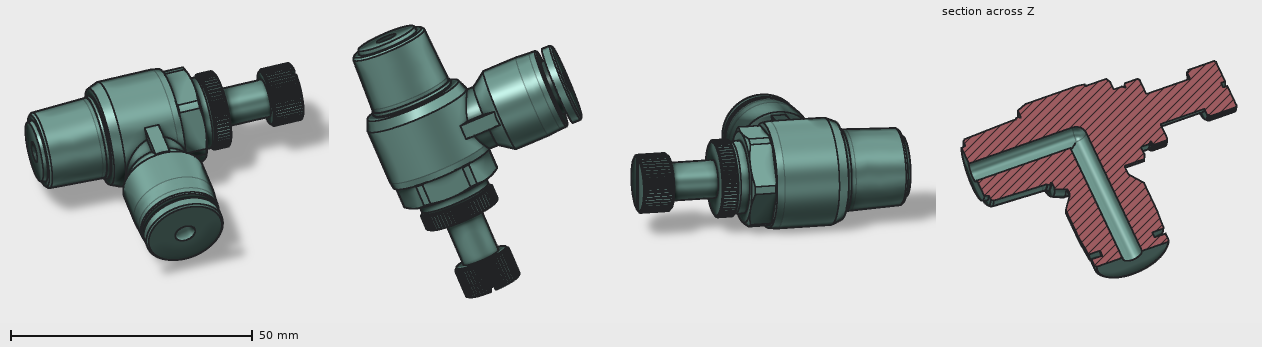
import cadquery as cq
import math


body_radius = 11.2
body_top_radius = 10.95
body_foot_radius = 10.3
body_top = 6.35
body_top_taper_start = 4.8
body_foot_taper_start = -6.8
body_foot = -9.0

gap_radius = 8.5
lip_start = -9.15
lip_chamfer = 0.2
lip_radius = 8.85
lip_end = -10.05
lip_end_radius = 8.7
plug_top_radius = 8.5
plug_taper_start = -10.95
plug_end_radius = 8.05
plug_end = -21.75
plug_chamfer_end = -22.25
plug_chamfer_radius = 7.6
nose_radius = 6.55
nose_end_radius = 6.3
nose_end = -23.2

hex_across_flats = 18.95
hex_round_radius = 10.5
hex_top = 11.5
hex_chamfer_width = 1.0
hex_chamfer_height = 0.5
hex_foot_chamfer = 0.2

collar_radius = 7.55
collar_top_radius = 7.05
collar_taper_start = 13.3
ring_bottom = 13.85
ring_top = 17.3
ring_radius = 8.05
ring_teeth = 60
stem_radius = 4.0
knob_bottom = 27.05
knob_top = 33.6
knob_radius = 6.1
knob_teeth = 48
knob_step_radius = 5.6
knob_step_height = 0.2
knurl_crest_width = 0.2
knurl_chamfer_width = 0.425
knurl_chamfer_height = 0.3
slot_width = 1.1
slot_depth = 0.9

neck_radius = 6.6
neck_end = 12.6
sleeve_start = 15.75
sleeve_radius = 8.8
sleeve_straight_end = 23.05
sleeve_bevel_start = 25.95
sleeve_bevel_radius = 8.6
sleeve_bevel_end = 27.2
sleeve_bevel_end_radius = 8.5
sleeve_end = 27.55
sleeve_end_radius = 8.3
groove_radius = 5.9
flange_start = 28.75
flange_radius = 8.35
flange_end = 30.9
flange_chamfer = 0.4

rib_width = 3.05
rib_half_height = 8.3
bore_radius = 2.15


def revolve_about_y(profile):
    """Solid of revolution about Y from (radius, y) corners that begin and end on the axis."""
    return cq.Workplane("XY").polyline(profile).close().revolve(360, (0, 0), (0, 1))


def revolve_about_x(profile):
    """Solid of revolution about X from (x, radius) corners that begin and end on the axis."""
    return cq.Workplane("XY").polyline(profile).close().revolve(360, (0, 0), (1, 0))


def cylinder_y(radius, start, end):
    return revolve_about_y([(0, start), (radius, start), (radius, end), (0, end)])


def chamfered_disc(radius, start, end, width, height):
    """Disc on the Y axis with both rims chamfered."""
    return revolve_about_y([
        (0, start), (radius - width, start), (radius, start + height),
        (radius, end - height), (radius - width, end), (0, end),
    ])


def prism_y(points, start, end):
    """Prism along Y from (x, z) corners."""
    plane = cq.Plane(origin=(0, start, 0), xDir=(-1, 0, 0), normal=(0, 1, 0))
    return cq.Workplane(plane).polyline(points).close().extrude(end - start)


def knurled_disc(radius, teeth, start, end):
    """Disc with flat-crested teeth, right-angled V grooves and chamfered rims."""
    pitch_angle = 2 * math.pi / teeth
    half_crest_angle = knurl_crest_width / (2 * radius)
    groove_depth = (pitch_angle * radius - knurl_crest_width) / 2
    root_radius = radius - groove_depth
    points = []
    for i in range(teeth):
        middle = i * pitch_angle
        for reach, angle in (
            (radius, middle - half_crest_angle),
            (radius, middle + half_crest_angle),
            (root_radius, middle + pitch_angle / 2),
        ):
            points.append((reach * math.cos(angle), reach * math.sin(angle)))
    rims = chamfered_disc(radius, start, end, knurl_chamfer_width, knurl_chamfer_height)
    return prism_y(points, start, end).intersect(rims)


def make_body_and_plug():
    return revolve_about_y([
        (0, body_top), (body_top_radius, body_top), (body_radius, body_top_taper_start),
        (body_radius, body_foot_taper_start), (body_foot_radius, body_foot),
        (gap_radius, body_foot), (gap_radius, lip_start),
        (lip_radius - lip_chamfer, lip_start), (lip_radius, lip_start - lip_chamfer),
        (lip_end_radius, lip_end), (plug_top_radius, lip_end), (plug_top_radius, plug_taper_start),
        (plug_end_radius, plug_end), (plug_chamfer_radius, plug_chamfer_end),
        (nose_radius, plug_chamfer_end), (nose_end_radius, nose_end), (0, nose_end),
    ])


def make_hexagon():
    """Hexagon with flats facing up and down, its corners turned round."""
    corner_radius = hex_across_flats / math.sqrt(3)
    corners = []
    for i in range(6):
        angle = math.radians(60 * i)
        corners.append((corner_radius * math.cos(angle), corner_radius * math.sin(angle)))
    turned = revolve_about_y([
        (0, body_top), (hex_round_radius - hex_foot_chamfer, body_top),
        (hex_round_radius, body_top + hex_foot_chamfer),
        (hex_round_radius, hex_top - hex_chamfer_height),
        (hex_round_radius - hex_chamfer_width, hex_top), (0, hex_top),
    ])
    return prism_y(corners, body_top, hex_top).intersect(turned)


def make_collar():
    return revolve_about_y([
        (0, hex_top), (collar_radius, hex_top), (collar_radius, collar_taper_start),
        (collar_top_radius, ring_bottom), (0, ring_bottom),
    ])


def make_knob():
    step_top = knob_bottom + knob_step_height
    step = cylinder_y(knob_step_radius, knob_bottom, step_top)
    knob = knurled_disc(knob_radius, knob_teeth, step_top, knob_top).union(step)
    slot = cq.Workplane("XY").box(slot_width, 2 * slot_depth, 2 * knob_radius)
    return knob.cut(slot.translate((0, knob_top, 0)))


def make_branch():
    return revolve_about_x([
        (0, 0), (0, neck_radius), (neck_end, neck_radius), (sleeve_start, sleeve_radius),
        (sleeve_straight_end, sleeve_radius), (sleeve_bevel_start, sleeve_bevel_radius),
        (sleeve_bevel_end, sleeve_bevel_end_radius),
        (sleeve_end, sleeve_end_radius), (sleeve_end, groove_radius),
        (flange_start, groove_radius), (flange_start, flange_radius),
        (flange_end - flange_chamfer, flange_radius),
        (flange_end, flange_radius - flange_chamfer), (flange_end, 0),
    ])


def make_ribs():
    """One bar through the body; its ends form the upper and lower ribs."""
    return cq.Workplane("XY").box(
        sleeve_start, rib_width, 2 * rib_half_height, centered=(False, True, True)
    )


def make_passage():
    """Bore from the plug nose, turning at a round elbow and leaving through the tube end."""
    plug_bore = cylinder_y(bore_radius, nose_end, 0)
    elbow = cq.Workplane("XY").sphere(bore_radius)
    tube_bore = cq.Workplane("YZ").circle(bore_radius).extrude(flange_end)
    return plug_bore.union(elbow).union(tube_bore)


result = (
    make_body_and_plug()
    .union(make_hexagon())
    .union(make_collar())
    .union(knurled_disc(ring_radius, ring_teeth, ring_bottom, ring_top))
    .union(cylinder_y(stem_radius, ring_top, knob_bottom))
    .union(make_knob())
    .union(make_branch())
    .union(make_ribs())
    .cut(make_passage())
)